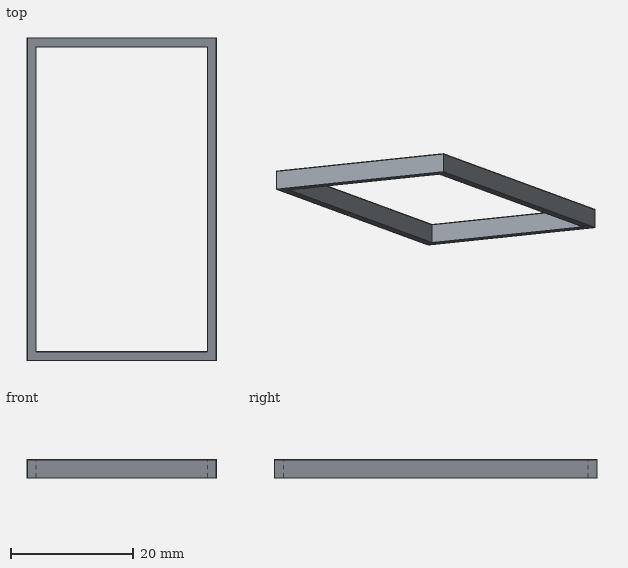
import cadquery as cq

length = 52.8
width = 30.95
height = 3.0
wall = 1.5

outer_block = cq.Workplane("XY").box(width, length, height)
opening = cq.Workplane("XY").box(width - 2 * wall, length - 2 * wall, height)

result = outer_block.cut(opening)